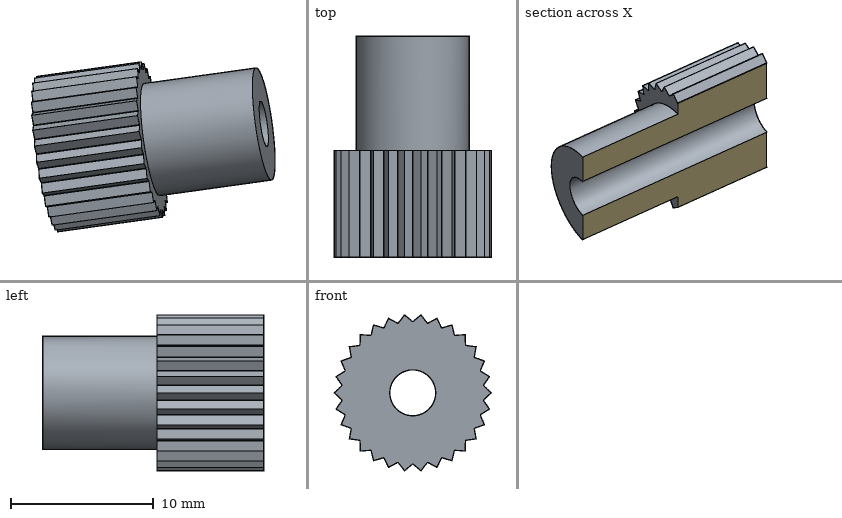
import cadquery as cq
import math

tooth_count = 30
tip_diameter = 11.0
root_diameter = 10.0
tooth_base_width = 1.0
gear_length = 7.5
hub_diameter = 7.95
hub_length = 8.0
bore_diameter = 3.2

total_length = gear_length + hub_length


def on_circle(diameter, angle):
    """Point in the XZ plane at the given angle (degrees) on a circle about the axis."""
    radius = diameter / 2
    return (radius * math.cos(math.radians(angle)), radius * math.sin(math.radians(angle)))


def front_plane(y):
    """XZ sketch plane at the given Y, with extrusion running toward +Y as a negative length."""
    return cq.Workplane("XZ", origin=(0, y, 0))


def toothed_wheel():
    """Wheel with pointed V teeth and a narrow land at each root; the first tip lies on +X."""
    pitch_angle = 360 / tooth_count
    base_half_angle = math.degrees(math.asin(tooth_base_width / root_diameter))
    outline = []
    for tooth in range(tooth_count):
        tip_angle = tooth * pitch_angle
        outline.append(on_circle(root_diameter, tip_angle - base_half_angle))
        outline.append(on_circle(tip_diameter, tip_angle))
        outline.append(on_circle(root_diameter, tip_angle + base_half_angle))
    return front_plane(0).polyline(outline).close().extrude(-gear_length)


def hub():
    """Plain round hub behind the wheel."""
    return front_plane(gear_length).circle(hub_diameter / 2).extrude(-hub_length)


def bore():
    """Through hole along the whole axis."""
    return front_plane(0).circle(bore_diameter / 2).extrude(-total_length)


result = toothed_wheel().union(hub()).cut(bore())